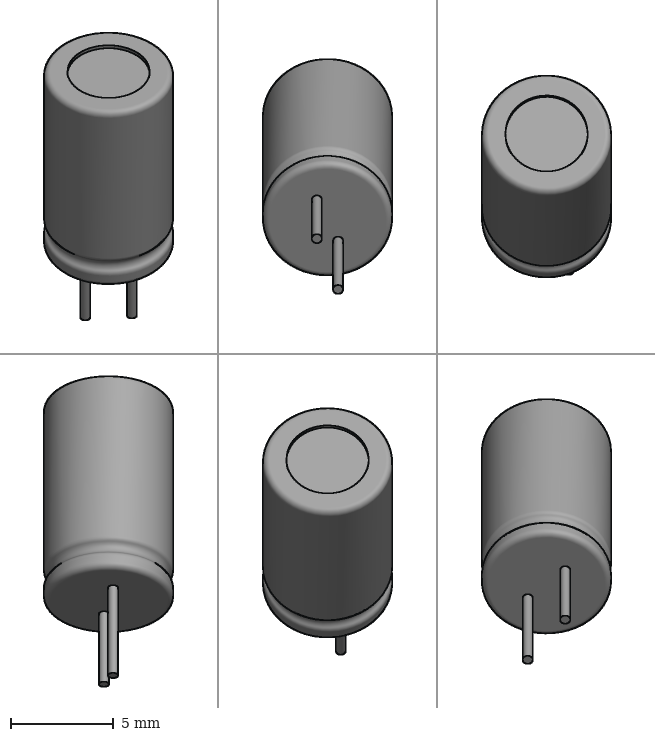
import cadquery as cq
import math

total_height = 16.01
can_diameter = 6.3
can_radius = can_diameter / 2

lead_diameter = 0.5
lead_spacing = 2.5
long_lead_length = 5.0
short_lead_length = 4.0
lead_embed = 0.32

edge_radius = 0.3
groove_radius = 0.42
groove_height = 1.24
groove_half_width = 0.55

recess_diameter = 4.0
recess_depth = 0.2

can_bottom = long_lead_length
can_top = total_height
groove_z = can_bottom + groove_height

lip_center_r = can_radius - edge_radius
tangent_angle = math.asin(groove_half_width / (edge_radius + groove_radius))
waist_center_r = lip_center_r + (edge_radius + groove_radius) * math.cos(tangent_angle)
waist_r = waist_center_r - groove_radius


def lip_point(angle, side):
    """Point on a lip arc, turned from radial toward the groove; side is -1 below, +1 above."""
    r = lip_center_r + edge_radius * math.cos(angle)
    z = groove_z + side * (groove_half_width - edge_radius * math.sin(angle))
    return (r, z)


def make_can():
    """Revolved can with rounded rims and a crimped groove near the bottom."""
    diagonal = edge_radius * math.sqrt(0.5)
    profile = (
        cq.Workplane("XZ")
        .moveTo(0, can_bottom)
        .lineTo(lip_center_r, can_bottom)
        .threePointArc(
            (lip_center_r + diagonal, can_bottom + edge_radius - diagonal),
            (can_radius, can_bottom + edge_radius),
        )
        .lineTo(*lip_point(0, -1))
        .threePointArc(lip_point(tangent_angle / 2, -1), lip_point(tangent_angle, -1))
        .threePointArc((waist_r, groove_z), lip_point(tangent_angle, 1))
        .threePointArc(lip_point(tangent_angle / 2, 1), lip_point(0, 1))
        .lineTo(can_radius, can_top - edge_radius)
        .threePointArc(
            (lip_center_r + diagonal, can_top - edge_radius + diagonal),
            (lip_center_r, can_top),
        )
        .lineTo(0, can_top)
        .close()
    )
    return profile.revolve(360, (0, 0, 0), (0, 1, 0))


def make_recess():
    """Shallow disc removed from the top face."""
    return (
        cq.Workplane("XY", origin=(0, 0, can_top - recess_depth))
        .circle(recess_diameter / 2)
        .extrude(recess_depth)
    )


def make_lead(x, length):
    """Straight round lead hanging below the can."""
    return (
        cq.Workplane("XY", origin=(x, 0, can_bottom - length))
        .circle(lead_diameter / 2)
        .extrude(length + lead_embed)
    )


result = make_can().cut(make_recess())
for lead_x, lead_length in (
    (-lead_spacing / 2, long_lead_length),
    (lead_spacing / 2, short_lead_length),
):
    result = result.union(make_lead(lead_x, lead_length))